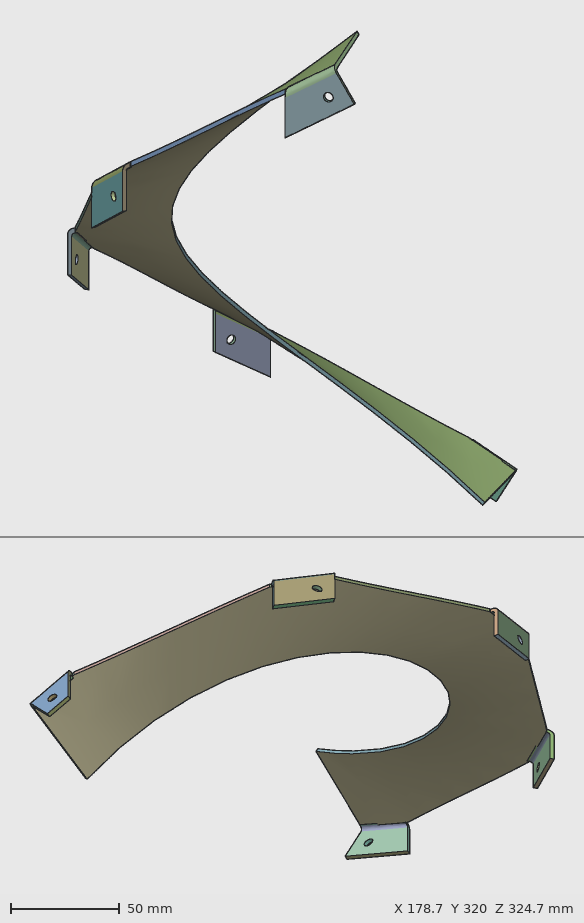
import cadquery as cq
import math

pitch = 596.7
inner_radius = 110.0
sheet = 2.0
lower_overrun = 2.4
upper_overrun = 3.0
half_turn = 180.0
tab_spacing = 45.0
trim_allowance = 8.0

flat_distance = 156.0
flat_half_width = 15.5

tab_face_distance = 160.0
tab_half_width = 14.5
end_tab_reach = 22.7
tab_drop = 23.5
tab_overlap = 1.0
hole_diameter = 4.5
hole_offset = 6.0
hole_depth = 13.5

rise_per_radian = pitch / (2 * math.pi)
tab_slope = rise_per_radian / tab_face_distance
slope_angle = math.degrees(math.atan(tab_slope))
middle_radius = (inner_radius + flat_distance) / 2
ribbon_height = sheet * math.hypot(1, rise_per_radian / middle_radius)
bend_radius = tab_face_distance - flat_distance
tab_angles = [half_turn / 2 + i * tab_spacing for i in range(5)]


def height_at(angle):
    """Height of the ribbon top, zero halfway along the ribbon."""
    return rise_per_radian * math.radians(angle - half_turn)


def make_outline():
    """Plan outline of the ribbon: polygonal outside, round inside."""
    points = [(0, 0)]
    first_angle = tab_angles[0] - tab_spacing
    for i in range(len(tab_angles) + 2):
        angle = math.radians(first_angle + i * tab_spacing)
        for along in (-flat_half_width, flat_half_width):
            x = flat_distance * math.cos(angle) - along * math.sin(angle)
            y = flat_distance * math.sin(angle) + along * math.cos(angle)
            points.append((x, y))
    plate = cq.Workplane("XY").workplane(offset=-pitch / 2).polyline(points).close().extrude(pitch)
    bore = cq.Workplane("XY").workplane(offset=-pitch / 2).circle(inner_radius).extrude(pitch)
    return plate.cut(bore)


def make_ribbon():
    """Helical slab trimmed to the plan outline."""
    start_angle = tab_angles[0] - trim_allowance
    sweep_angle = half_turn + 2 * trim_allowance
    margin = 6.5
    slab_inner = inner_radius - margin
    slab_outer = tab_face_distance + margin
    path = cq.Wire.makeHelix(pitch, pitch * sweep_angle / 360, middle_radius)
    slab = (
        cq.Workplane("XZ")
        .center((slab_inner + slab_outer) / 2, -ribbon_height / 2)
        .rect(slab_outer - slab_inner, ribbon_height)
        .sweep(cq.Workplane(path), isFrenet=True)
        .rotate((0, 0, 0), (0, 0, 1), start_angle)
        .translate((0, 0, height_at(start_angle)))
    )
    return slab.intersect(make_outline())


def make_tab(angle, rising_reach):
    """Downward tab with a rounded bend, sheared to follow the slope of the ribbon."""
    leg_start = flat_distance - tab_overlap
    inner_bend = bend_radius - sheet
    arc = math.sqrt(0.5)
    inner_face = tab_face_distance - sheet
    profile = (
        cq.Workplane("XZ")
        .moveTo(leg_start, 0)
        .lineTo(flat_distance, 0)
        .threePointArc(
            (flat_distance + bend_radius * arc, bend_radius * (arc - 1)),
            (tab_face_distance, -bend_radius),
        )
        .lineTo(tab_face_distance, -tab_drop)
        .lineTo(inner_face, -tab_drop)
        .lineTo(inner_face, -ribbon_height - inner_bend)
        .threePointArc(
            (flat_distance + inner_bend * arc, -ribbon_height + inner_bend * (arc - 1)),
            (flat_distance, -ribbon_height),
        )
        .lineTo(leg_start, -ribbon_height)
        .close()
    )
    start = cq.Vector(0, -tab_half_width, -tab_half_width * tab_slope)
    face = cq.Face.makeFromWires(profile.wire().val()).translate(start)
    length = tab_half_width + rising_reach
    along = cq.Vector(0, length, length * tab_slope)
    body = cq.Workplane(cq.Solid.extrudeLinear(face, along))
    hole = (
        cq.Workplane("YZ", origin=(flat_distance, 0, 0))
        .center(hole_offset, hole_offset * tab_slope - hole_depth)
        .circle(hole_diameter / 2)
        .extrude(2 * bend_radius)
    )
    return body.cut(hole).rotate((0, 0, 0), (0, 0, 1), angle).translate((0, 0, height_at(angle)))


def make_end_cutter(angle, direction):
    """Block beyond a radial end plane square to the slope of the outer edge."""
    size = 97.3
    block = cq.Workplane("XY").box(size, size, size).translate((middle_radius, direction * size / 2, 0))
    return (
        block.rotate((0, 0, 0), (1, 0, 0), slope_angle)
        .rotate((0, 0, 0), (0, 0, 1), angle)
        .translate((0, 0, height_at(angle)))
    )


result = make_ribbon()
for tab_angle in tab_angles[:-1]:
    result = result.union(make_tab(tab_angle, tab_half_width))
result = result.union(make_tab(tab_angles[-1], end_tab_reach))
result = result.cut(make_end_cutter(tab_angles[0] - lower_overrun, -1))
result = result.cut(make_end_cutter(tab_angles[-1] + upper_overrun, 1))